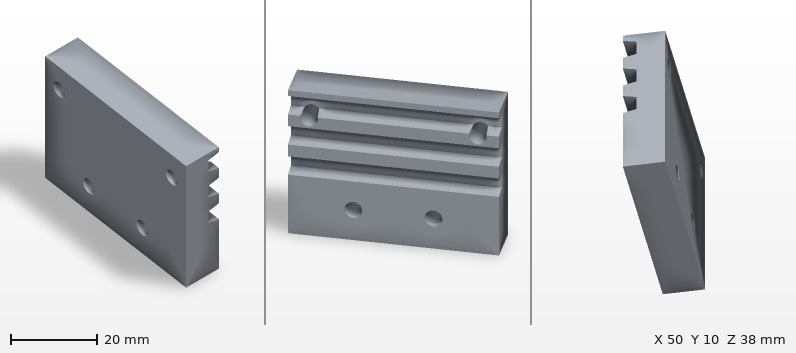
import cadquery as cq

width = 50.0
thickness = 10.0
height = 38.0

groove_count = 3
groove_pitch = 8.0
groove_depth = 3.2
groove_mouth = 4.9
groove_floor = 3.5
top_groove_z = height - 4.0

hole_diameter = 4.2
upper_hole_spacing = 40.0
upper_hole_z = 31.0
lower_hole_spacing = 19.0
lower_hole_z = 8.0


def make_groove(center_z):
    """Trapezoidal groove, widest at the back face, running the full width."""
    back_y = thickness / 2
    floor_y = back_y - groove_depth
    return (
        cq.Workplane("YZ")
        .polyline([
            (back_y, center_z - groove_mouth / 2),
            (back_y, center_z + groove_mouth / 2),
            (floor_y, center_z + groove_floor / 2),
            (floor_y, center_z - groove_floor / 2),
        ])
        .close()
        .extrude(width / 2, both=True)
    )


def make_hole_pair(spacing, center_z):
    """Two through holes, placed symmetrically about the middle of the width."""
    return (
        cq.Workplane("XZ")
        .pushPoints([(-spacing / 2, center_z), (spacing / 2, center_z)])
        .circle(hole_diameter / 2)
        .extrude(thickness / 2, both=True)
    )


result = cq.Workplane("XY").box(width, thickness, height, centered=(True, True, False))

for index in range(groove_count):
    result = result.cut(make_groove(top_groove_z - index * groove_pitch))

result = result.cut(make_hole_pair(upper_hole_spacing, upper_hole_z))
result = result.cut(make_hole_pair(lower_hole_spacing, lower_hole_z))